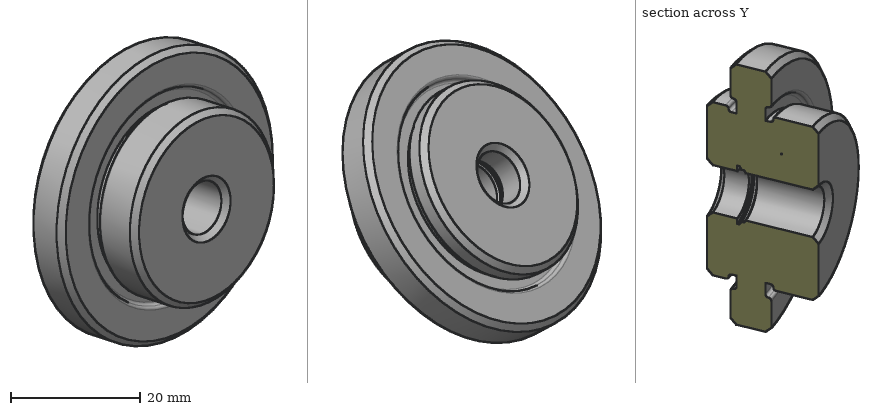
import cadquery as cq
import math

outer_radius = 24.0
total_length = 19.0
chamfer = 1.0
disc_start = 4.0
disc_end = 11.0
hub_radius = 16.0

relief_rise = 1.0
relief_blend = relief_rise / 2
relief_edge_offset = 0.75
relief_face_radius = 18.0

bore_radius = 4.3
groove_start = 5.2
groove_deep_radius = 5.35
groove_shallow_radius = 4.75
groove_deep_width = 0.35
groove_shallow_width = 0.5
groove_slope = math.radians(60)


def revolve_around_x(profile):
    """Turn a closed (x, radius) profile into a solid."""
    return profile.revolve(360, (0, 0, 0), (1, 0, 0))


def chamfered_cylinder(start, end, radius):
    return (
        cq.Workplane("YZ", origin=(start, 0, 0))
        .circle(radius)
        .extrude(end - start)
        .edges()
        .chamfer(chamfer)
    )


def relief_cutter(face_x, inward):
    """Ring cut beside a disc face; inward is the X direction into the disc."""
    hub_edge = face_x - inward * relief_edge_offset
    neck_start = hub_edge + inward * relief_rise
    floor_x = face_x + inward * relief_rise
    neck_radius = hub_radius - relief_rise
    floor_radius = relief_face_radius - relief_rise
    hub_mid = (hub_edge + inward * relief_blend, hub_radius - relief_blend)
    face_mid = (face_x + inward * relief_blend, relief_face_radius - relief_blend)
    near_bend = relief_blend * math.sqrt(0.5)
    far_bend = relief_blend - near_bend
    return revolve_around_x(
        cq.Workplane("XY")
        .moveTo(hub_edge, hub_radius)
        .threePointArc((hub_edge + inward * near_bend, hub_radius - far_bend), hub_mid)
        .threePointArc((neck_start - inward * near_bend, neck_radius + far_bend), (neck_start, neck_radius))
        .lineTo(floor_x, neck_radius)
        .lineTo(floor_x, floor_radius)
        .threePointArc((floor_x - inward * far_bend, floor_radius + near_bend), face_mid)
        .threePointArc(
            (face_x + inward * far_bend, relief_face_radius - near_bend),
            (face_x, relief_face_radius),
        )
        .lineTo(hub_edge, relief_face_radius)
        .close()
    )


def bore_cutter():
    mouth_radius = bore_radius + chamfer
    deep_end = groove_start + groove_deep_width
    shallow_start = deep_end + (groove_deep_radius - groove_shallow_radius) / math.tan(groove_slope)
    shallow_end = shallow_start + groove_shallow_width
    groove_end = shallow_end + (groove_shallow_radius - bore_radius) / math.tan(groove_slope)
    return revolve_around_x(
        cq.Workplane("XY")
        .moveTo(0, 0)
        .lineTo(0, mouth_radius)
        .lineTo(chamfer, bore_radius)
        .lineTo(groove_start, bore_radius)
        .lineTo(groove_start, groove_deep_radius)
        .lineTo(deep_end, groove_deep_radius)
        .lineTo(shallow_start, groove_shallow_radius)
        .lineTo(shallow_end, groove_shallow_radius)
        .lineTo(groove_end, bore_radius)
        .lineTo(total_length - chamfer, bore_radius)
        .lineTo(total_length, mouth_radius)
        .lineTo(total_length, 0)
        .close()
    )


hubs = chamfered_cylinder(0, total_length, hub_radius)
disc = chamfered_cylinder(disc_start, disc_end, outer_radius)
result = (
    hubs.union(disc)
    .cut(relief_cutter(disc_start, 1))
    .cut(relief_cutter(disc_end, -1))
    .cut(bore_cutter())
)